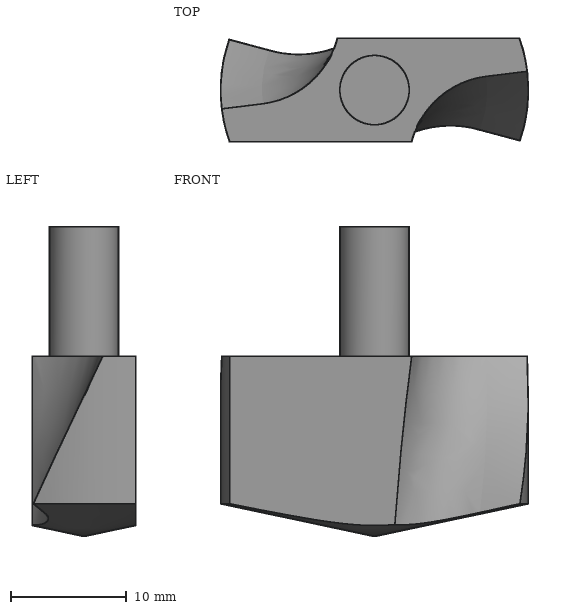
import cadquery as cq
import math

total_height = 26.8
head_top = 15.6
head_diameter = 26.65
head_thickness = 8.98
shank_diameter = 6.0
point_angle = 12.0

gullet_start_radius = 9.75
gullet_radius = 7.65
face_angle_top = 7.0
face_angle_rim = -19.2
flute_margin = 2.68

head_radius = head_diameter / 2
rim_height = head_radius * math.tan(math.radians(point_angle))
twist_rate = (face_angle_top - face_angle_rim) / (head_top - rim_height)


def make_head():
    """Turned head with a conical point, narrowed to a flat slab."""
    turned = (
        cq.Workplane("XZ")
        .polyline([(0, 0), (head_radius, rim_height), (head_radius, head_top), (0, head_top)])
        .close()
        .revolve(360, (0, 0, 0), (0, 1, 0))
    )
    slab = cq.Workplane("XY").box(
        head_diameter, head_thickness, head_top, centered=(True, True, False)
    )
    return turned.intersect(slab)


def make_flute_cutter(side_angle):
    """Twisted cutter: a radial face running tangent into a round gullet."""
    outer_x = head_radius + flute_margin
    gullet_x = gullet_start_radius - gullet_radius
    diagonal = gullet_radius * math.sqrt(0.5)
    gullet_middle = (gullet_start_radius - diagonal, diagonal - gullet_radius)
    lowest_y = -head_radius
    angle_at_tip = face_angle_top - twist_rate * head_top
    return (
        cq.Workplane("XY")
        .moveTo(outer_x, 0)
        .lineTo(gullet_start_radius, 0)
        .threePointArc(gullet_middle, (gullet_x, -gullet_radius))
        .lineTo(gullet_x, lowest_y)
        .lineTo(outer_x, lowest_y)
        .close()
        .twistExtrude(head_top, twist_rate * head_top)
        .rotate((0, 0, 0), (0, 0, 1), angle_at_tip + side_angle)
    )


head = make_head()
for side_angle in (0, 180):
    head = head.cut(make_flute_cutter(side_angle))

shank = (
    cq.Workplane("XY")
    .workplane(offset=head_top)
    .circle(shank_diameter / 2)
    .extrude(total_height - head_top)
)

result = head.union(shank)